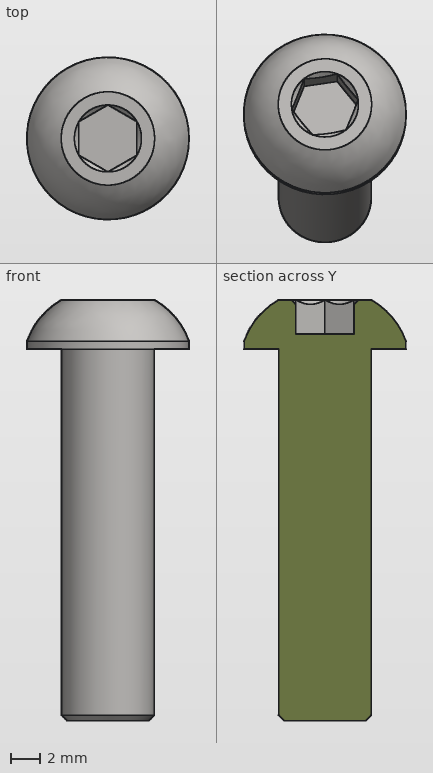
import cadquery as cq
import math

total_length = 28.75
head_diameter = 11.1
head_height = 3.35
rim_height = 0.55
crown_flat_diameter = 6.38
crown_radius = 5.32
shank_diameter = 6.35
tip_chamfer = 0.4
socket_across_flats = 3.97
socket_depth = 2.33
countersink_angle = 45.0

head_radius = head_diameter / 2
crown_flat_radius = crown_flat_diameter / 2
shank_radius = shank_diameter / 2
shank_length = total_length - head_height
socket_across_corners = socket_across_flats / math.cos(math.radians(30))
socket_corner_radius = socket_across_corners / 2
countersink_depth = socket_corner_radius * math.tan(math.radians(countersink_angle))


def crown_midpoint():
    """Point halfway along the domed arc from the rim to the flat top."""
    run = crown_flat_radius - head_radius
    rise = head_height - rim_height
    chord = math.hypot(run, rise)
    bulge = crown_radius - math.sqrt(crown_radius**2 - (chord / 2) ** 2)
    middle_radius = (head_radius + crown_flat_radius) / 2
    middle_height = (rim_height + head_height) / 2
    return (middle_radius + bulge * rise / chord, middle_height - bulge * run / chord)


def make_screw_body():
    """Revolve the shank, its chamfered tip and the domed head."""
    profile = (
        cq.Workplane("XZ")
        .moveTo(0, -shank_length)
        .lineTo(shank_radius - tip_chamfer, -shank_length)
        .lineTo(shank_radius, -shank_length + tip_chamfer)
        .lineTo(shank_radius, 0)
        .lineTo(head_radius, 0)
        .lineTo(head_radius, rim_height)
        .threePointArc(crown_midpoint(), (crown_flat_radius, head_height))
        .lineTo(0, head_height)
        .close()
    )
    return profile.revolve(360, (0, 0, 0), (0, 1, 0))


def make_socket():
    """Hexagonal socket with corners on the Y axis and a conical entry."""
    hexagon = (
        cq.Workplane("XY", origin=(0, 0, head_height))
        .transformed(rotate=(0, 0, 90))
        .polygon(6, socket_across_corners)
        .extrude(-socket_depth)
    )
    entry_cone = (
        cq.Workplane("XZ")
        .moveTo(0, head_height)
        .lineTo(socket_corner_radius, head_height)
        .lineTo(0, head_height - countersink_depth)
        .close()
        .revolve(360, (0, 0, 0), (0, 1, 0))
    )
    return hexagon.union(entry_cone)


result = make_screw_body().cut(make_socket())